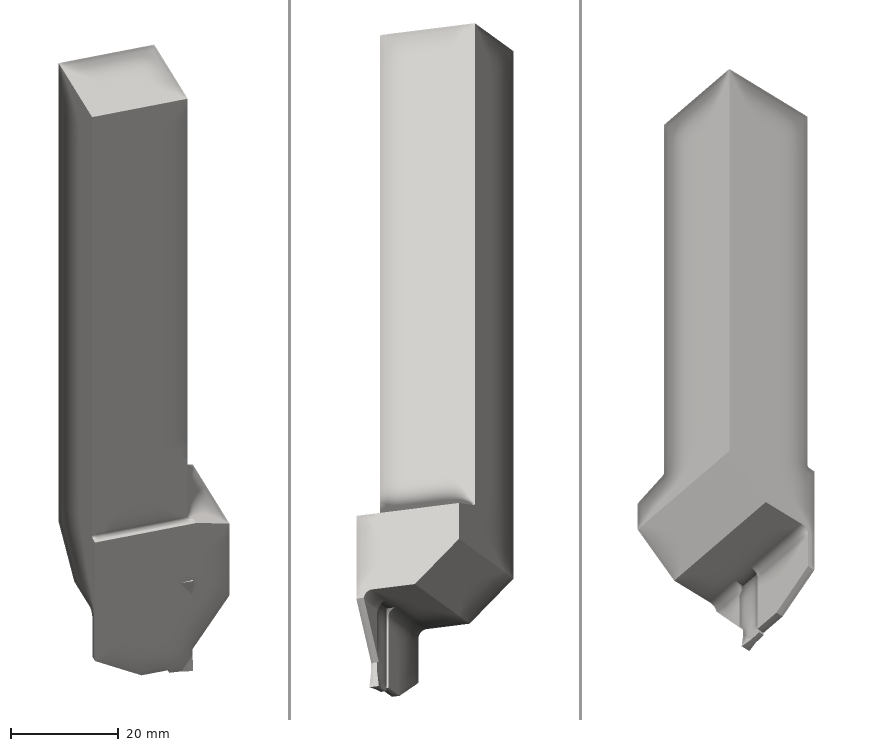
import cadquery as cq

total_height = 127.0
head_depth = 26.4
shank_width = 19.0
shank_depth = 18.8
corner_radius = 0.5

head_width = 20.7
head_top = 32.8
head_bottom = 16.5
head_chamfer_top = 24.3
head_chamfer_width = 8.9
lug_root_height = 33.0
lug_edge_height = 31.2
lug_bottom = 15.1

blade_left = 19.2
blade_bottom = 1.0
blade_fillet = 1.7
blade_front_height = 6.2
blade_front_run = 9.1
blade_back_end = 16.6

insert_length = 20.2
insert_left = 19.5
insert_right = head_width
insert_front = 14.6
insert_rake = 19.2
insert_back = 20.0
insert_relief = 0.4
ramp_start = 5.0
ramp_end = 6.0
flare_height = 3.3
flare_depth = 2.3
flare_growth = 0.4


def make_front_prism():
    """Holder outline in XZ, extruded through the full depth."""
    outline = [
        (0, total_height),
        (shank_width, total_height),
        (shank_width, head_top),
        (head_width, head_top),
        (head_width, blade_bottom),
        (blade_left, blade_bottom),
        (blade_left, head_bottom),
        (head_chamfer_width, head_bottom),
        (0, head_chamfer_top),
    ]
    prism = cq.Workplane("XZ").polyline(outline).close().extrude(-head_depth)
    middle = head_depth / 2
    step_corner = cq.selectors.NearestToPointSelector((shank_width, middle, head_top))
    blade_corner = cq.selectors.NearestToPointSelector((blade_left, middle, head_bottom))
    prism = prism.edges(step_corner).fillet(corner_radius)
    return prism.edges(blade_corner).fillet(blade_fillet)


def make_side_prism():
    """Holder outline in YZ, extruded through the full width."""
    outline = [
        (0, total_height),
        (shank_depth, total_height),
        (shank_depth, lug_root_height),
        (head_depth, lug_edge_height),
        (head_depth, lug_bottom),
        (blade_back_end, blade_bottom),
        (blade_front_run, blade_bottom),
        (0, blade_front_height),
    ]
    prism = cq.Workplane("YZ").polyline(outline).close().extrude(head_width)
    lug_corner = cq.selectors.NearestToPointSelector((head_width / 2, shank_depth, lug_root_height))
    return prism.edges(lug_corner).fillet(corner_radius)


def make_tetrahedron(a, b, c, d):
    """Solid bounded by the four triangles between four points."""
    triangles = [(a, b, c), (a, b, d), (b, c, d), (a, c, d)]
    faces = []
    for triangle in triangles:
        wire = cq.Wire.makePolygon([cq.Vector(*point) for point in triangle], close=True)
        faces.append(cq.Face.makeFromWires(wire))
    solid = cq.Solid.makeSolid(cq.Shell.makeShell(faces))
    return cq.Workplane(solid.fix())


def make_flare(side, growth, tip, upward):
    """Tapered widening on one side of one cutting edge; growth and upward carry signs."""
    relief_at_flare = insert_relief * flare_depth / (insert_rake - insert_front)
    return make_tetrahedron(
        (side, insert_rake, tip),
        (side, insert_rake, tip + upward * flare_height),
        (side, insert_rake - flare_depth, tip + upward * relief_at_flare),
        (side + growth, insert_rake, tip),
    )


def extrude_insert_outline(left, right):
    """Insert outline in YZ, with a raised middle and relieved ends, between two X positions."""
    outline = [
        (insert_front, insert_relief),
        (insert_rake, 0),
        (insert_rake, ramp_start),
        (insert_back, ramp_end),
        (insert_back, insert_length - ramp_end),
        (insert_rake, insert_length - ramp_start),
        (insert_rake, insert_length),
        (insert_front, insert_length - insert_relief),
    ]
    return cq.Workplane("YZ", origin=(left, 0, 0)).polyline(outline).close().extrude(right - left)


def make_insert():
    """Insert with widened corners at the cutting edges of both ends."""
    body = extrude_insert_outline(insert_left, insert_right)
    for tip, upward in [(0, 1), (insert_length, -1)]:
        body = body.union(make_flare(insert_left, -flare_growth, tip, upward))
        body = body.union(make_flare(insert_right, flare_growth, tip, upward))
    return body


def make_seat_opening():
    """Clearance from the insert out through the blade's -X face, up to the head's underside."""
    opening = extrude_insert_outline(blade_left - blade_fillet, insert_left)
    below_head = cq.Workplane("XY").box(head_width, head_depth, head_bottom, centered=False)
    return opening.intersect(below_head)


insert = make_insert()

holder = make_front_prism().intersect(make_side_prism())
holder = holder.cut(make_seat_opening()).cut(insert)

result = cq.Compound.makeCompound([holder.solids().val(), insert.solids().val()])